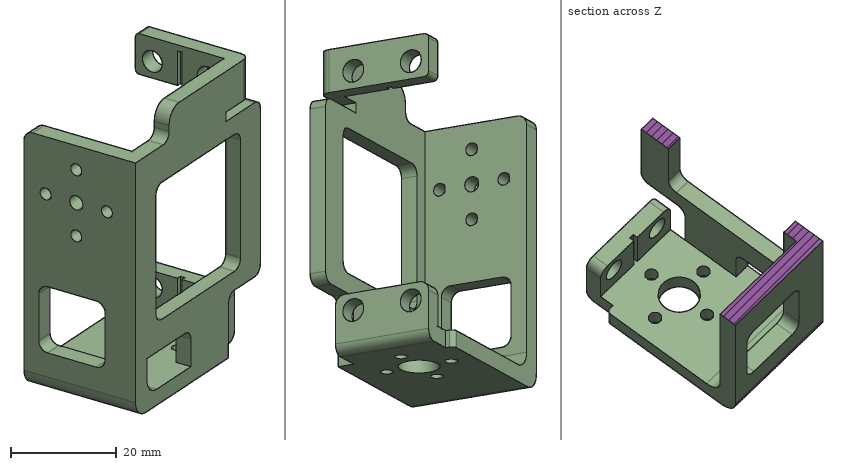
import cadquery as cq

WIDTH = 25.5
DEPTH = 42.9
HEIGHT = 61.02

FRONT_THICKNESS = 3.9
SIDE_THICKNESS = 3.4
BASE_THICKNESS = 3.4
TAB_THICKNESS = 3.6

CORNER_RADIUS = 2.0
SMALL_RADIUS = 1.0
BEND_OUTER_RADIUS = 3.5
BEND_INNER_RADIUS = 3.35

FRONT_TOP = 54.25
WINDOW_LEFT = 3.4
WINDOW_WIDTH = 15.1
WINDOW_BOTTOM = 8.6
WINDOW_HEIGHT = 14.0

CENTRE_X = 11.95
CROSS_ARM = 7.0
CROSS_HOLE_DIAMETER = 2.5
FRONT_CENTRE_DIAMETER = 3.0
FRONT_CENTRE_Z = 42.15
BASE_CENTRE_DIAMETER = 8.0
BASE_CENTRE_Y = 24.5

TAB_LEFT = 1.8
TAB_REAR = 39.1
TAB_INNER = TAB_REAR - TAB_THICKNESS
LOWER_TAB_TOP = 11.6
TAB_HOLE_DIAMETER = 4.5
TAB_HOLE_SPACING = 12.5
LOWER_TAB_HOLE_Z = 8.2
UPPER_TAB_HOLE_Z = 55.95
GROOVE_WIDTH = 1.0
GROOVE_DEPTH = 1.0
UPPER_GROOVE_TOP = 59.7
BASE_STEP_Y = 32.4

SIDE_LEFT = WIDTH - SIDE_THICKNESS
SIDE_BODY_BOTTOM = 13.5
SIDE_BODY_TOP = 50.4
SLOT_TOP = 52.4
SLOT_END_Y = 31.05
SHOULDER_Y = 11.5
SHOULDER_RADIUS = 3.5
LEG_REAR_Y = 31.9
LEG_FRONT_Y = 19.0
LEG_OPENING_TOP = 11.25
SIDE_WINDOW_FRONT = 7.0
SIDE_WINDOW_BOTTOM = 17.5
SIDE_WINDOW_SIZE = 29.0


def box(x_range, y_range, z_range):
    """Box spanning a (low, high) range on each axis."""
    ranges = (x_range, y_range, z_range)
    sizes = [high - low for low, high in ranges]
    corner = tuple(low for low, high in ranges)
    return cq.Workplane("XY").box(*sizes, centered=False).translate(corner)


def round_edge(part, direction, point, radius):
    """Round the edge parallel to direction whose centre is nearest to point."""
    nearest = cq.selectors.NearestToPointSelector(point)
    return part.edges(direction).edges(nearest).fillet(radius)


def cross_points(x, other):
    """Four hole centres around a central point (X first, then Y or Z)."""
    return [
        (x - CROSS_ARM, other),
        (x + CROSS_ARM, other),
        (x, other - CROSS_ARM),
        (x, other + CROSS_ARM),
    ]


def holes_along_y(points, diameter, start_y, length):
    """Cylinders along +Y at (x, z) points."""
    plane = cq.Workplane("XZ", origin=(0, start_y, 0))
    return plane.pushPoints(points).circle(diameter / 2).extrude(-length)


def make_front_plate():
    plate = box((0, WIDTH), (0, FRONT_THICKNESS), (0, FRONT_TOP))
    plate = round_edge(plate, "|Y", (0, FRONT_THICKNESS / 2, FRONT_TOP), CORNER_RADIUS)
    window = box(
        (WINDOW_LEFT, WINDOW_LEFT + WINDOW_WIDTH),
        (0, FRONT_THICKNESS),
        (WINDOW_BOTTOM, WINDOW_BOTTOM + WINDOW_HEIGHT),
    ).edges("|Y").fillet(CORNER_RADIUS)
    centre = (CENTRE_X, FRONT_CENTRE_Z)
    plate = plate.cut(window)
    plate = plate.cut(holes_along_y([centre], FRONT_CENTRE_DIAMETER, 0, FRONT_THICKNESS))
    return plate.cut(holes_along_y(cross_points(*centre), CROSS_HOLE_DIAMETER, 0, FRONT_THICKNESS))


def make_base_plate():
    """Base plate: full width up to the side plate's leg, then stepped in to the width of the tab."""
    plate = box((0, SIDE_LEFT), (0, BASE_STEP_Y), (0, BASE_THICKNESS))
    plate = round_edge(plate, "|Z", (0, BASE_STEP_Y, BASE_THICKNESS / 2), SMALL_RADIUS)
    plate = plate.union(box((0, WIDTH), (0, LEG_FRONT_Y), (0, BASE_THICKNESS)))
    plate = plate.union(box((TAB_LEFT, SIDE_LEFT), (LEG_FRONT_Y, TAB_REAR), (0, BASE_THICKNESS)))
    centre = (CENTRE_X, BASE_CENTRE_Y)
    plane = cq.Workplane("XY")
    plate = plate.cut(plane.pushPoints([centre]).circle(BASE_CENTRE_DIAMETER / 2).extrude(BASE_THICKNESS))
    small_holes = plane.pushPoints(cross_points(*centre)).circle(CROSS_HOLE_DIAMETER / 2)
    return plate.cut(small_holes.extrude(BASE_THICKNESS))


def make_tab(right, bottom, top, hole_z, groove_bottom, groove_top):
    """Rear tab with two holes and a vertical groove on its inner face."""
    tab = box((TAB_LEFT, right), (TAB_INNER, TAB_REAR), (bottom, top))
    holes = [(CENTRE_X + side * TAB_HOLE_SPACING / 2, hole_z) for side in (-1, 1)]
    groove = box(
        (CENTRE_X - GROOVE_WIDTH / 2, CENTRE_X + GROOVE_WIDTH / 2),
        (TAB_INNER, TAB_INNER + GROOVE_DEPTH),
        (groove_bottom, groove_top),
    )
    tab = tab.cut(holes_along_y(holes, TAB_HOLE_DIAMETER, TAB_INNER, TAB_THICKNESS))
    return tab.cut(groove)


def make_lower_tab():
    tab = make_tab(SIDE_LEFT, 0, LOWER_TAB_TOP, LOWER_TAB_HOLE_Z, BASE_THICKNESS, LOWER_TAB_TOP)
    middle_y = TAB_REAR - TAB_THICKNESS / 2
    for x in (TAB_LEFT, SIDE_LEFT):
        tab = round_edge(tab, "|Y", (x, middle_y, LOWER_TAB_TOP), CORNER_RADIUS)
    return tab


def make_upper_tab():
    tab = make_tab(WIDTH, SLOT_TOP, HEIGHT, UPPER_TAB_HOLE_Z, SLOT_TOP, UPPER_GROOVE_TOP)
    middle_y = TAB_REAR - TAB_THICKNESS / 2
    for z in (SLOT_TOP, HEIGHT):
        tab = round_edge(tab, "|Y", (TAB_LEFT, middle_y, z), SMALL_RADIUS)
    return tab


def make_side_plate():
    """Side plate: main panel, head that carries the upper tab, and leg down to the base."""
    middle_x = WIDTH - SIDE_THICKNESS / 2
    outline = [
        (0, LEG_OPENING_TOP),
        (LEG_FRONT_Y, LEG_OPENING_TOP),
        (LEG_FRONT_Y, 0),
        (LEG_REAR_Y, 0),
        (LEG_REAR_Y, SIDE_BODY_BOTTOM),
        (DEPTH, SIDE_BODY_BOTTOM),
        (DEPTH, SIDE_BODY_TOP),
        (SLOT_END_Y, SIDE_BODY_TOP),
        (SLOT_END_Y, SLOT_TOP),
        (TAB_REAR, SLOT_TOP),
        (TAB_REAR, HEIGHT),
        (SHOULDER_Y, HEIGHT),
        (SHOULDER_Y, FRONT_TOP),
        (0, FRONT_TOP),
    ]
    plate = cq.Workplane("YZ", origin=(SIDE_LEFT, 0, 0)).polyline(outline).close().extrude(SIDE_THICKNESS)
    rounded_corners = [
        (LEG_FRONT_Y, LEG_OPENING_TOP, CORNER_RADIUS),
        (LEG_REAR_Y, SIDE_BODY_BOTTOM, CORNER_RADIUS),
        (DEPTH, SIDE_BODY_BOTTOM, CORNER_RADIUS),
        (DEPTH, SIDE_BODY_TOP, CORNER_RADIUS),
        (SHOULDER_Y, HEIGHT, SHOULDER_RADIUS),
        (SHOULDER_Y, FRONT_TOP, CORNER_RADIUS),
    ]
    for y, z, radius in rounded_corners:
        plate = round_edge(plate, "|X", (middle_x, y, z), radius)
    window = box(
        (SIDE_LEFT, WIDTH),
        (SIDE_WINDOW_FRONT, SIDE_WINDOW_FRONT + SIDE_WINDOW_SIZE),
        (SIDE_WINDOW_BOTTOM, SIDE_WINDOW_BOTTOM + SIDE_WINDOW_SIZE),
    ).edges("|X").fillet(CORNER_RADIUS)
    return plate.cut(window)


def round_bends(part):
    """Round the bends between the joined plates."""
    middle_x = WIDTH / 2
    upper_tab_middle_z = (SLOT_TOP + HEIGHT) / 2
    part = round_edge(part, "|X", (middle_x, FRONT_THICKNESS, BASE_THICKNESS), BEND_INNER_RADIUS)
    part = round_edge(part, "|X", (middle_x, 0, 0), BEND_OUTER_RADIUS)
    part = round_edge(part, "|X", (middle_x, TAB_REAR, 0), CORNER_RADIUS)
    return round_edge(part, "|Z", (WIDTH, TAB_REAR, upper_tab_middle_z), CORNER_RADIUS)


bracket = make_front_plate()
for plate in (make_base_plate(), make_lower_tab(), make_side_plate(), make_upper_tab()):
    bracket = bracket.union(plate)
result = round_bends(bracket.clean())